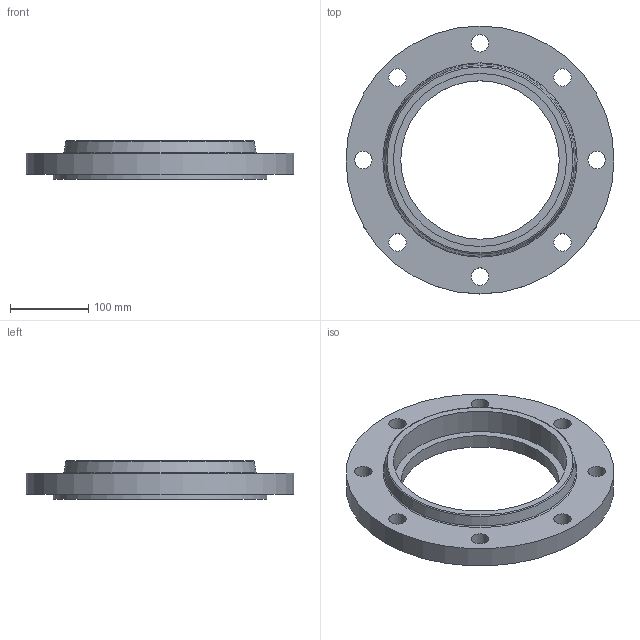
import cadquery as cq

FLANGE_DIAMETER = 342.9
FLANGE_THICKNESS = 26.9

FACE_DIAMETER = 273.5
FACE_HEIGHT = 6.4

OVERALL_HEIGHT = 49.28
HUB_BASE_DIAMETER = 246.1
HUB_TOP_DIAMETER = 240.5
HUB_BASE_FILLET = 1.5
HUB_TOP_FILLET = 1.5

BORE_DIAMETER = 202.7
SOCKET_DIAMETER = 221.5
SOCKET_DEPTH = 31.8

BOLT_COUNT = 8
BOLT_CIRCLE_DIAMETER = 298.5
BOLT_HOLE_DIAMETER = 22.4

FLANGE_TOP = FACE_HEIGHT + FLANGE_THICKNESS
SOCKET_FLOOR = OVERALL_HEIGHT - SOCKET_DEPTH


def make_ring():
    """Revolve the half section of the flange, with its stepped bore, about Z."""
    profile = (
        cq.Workplane("XZ")
        .moveTo(BORE_DIAMETER / 2, 0)
        .lineTo(FACE_DIAMETER / 2, 0)
        .lineTo(FACE_DIAMETER / 2, FACE_HEIGHT)
        .lineTo(FLANGE_DIAMETER / 2, FACE_HEIGHT)
        .lineTo(FLANGE_DIAMETER / 2, FLANGE_TOP)
        .lineTo(HUB_BASE_DIAMETER / 2, FLANGE_TOP)
        .lineTo(HUB_TOP_DIAMETER / 2, OVERALL_HEIGHT)
        .lineTo(SOCKET_DIAMETER / 2, OVERALL_HEIGHT)
        .lineTo(SOCKET_DIAMETER / 2, SOCKET_FLOOR)
        .lineTo(BORE_DIAMETER / 2, SOCKET_FLOOR)
        .close()
    )
    return profile.revolve(360, (0, 0, 0), (0, 1, 0))


def round_hub(body):
    """Round the foot of the hub and its outer top edge."""
    hub_side = body.faces("%CONE")
    foot_edge = hub_side.edges("%CIRCLE").edges("<Z")
    rounded = foot_edge.fillet(HUB_BASE_FILLET)
    top_edge = rounded.faces("%CONE").edges("%CIRCLE").edges(">Z")
    return top_edge.fillet(HUB_TOP_FILLET)


def cut_bolt_holes(body):
    """Drill the bolt holes through the plate, the first one on +X."""
    holes = (
        cq.Workplane("XY")
        .polarArray(BOLT_CIRCLE_DIAMETER / 2, 0, 360, BOLT_COUNT)
        .circle(BOLT_HOLE_DIAMETER / 2)
        .extrude(FLANGE_TOP)
    )
    return body.cut(holes)


result = cut_bolt_holes(round_hub(make_ring()))